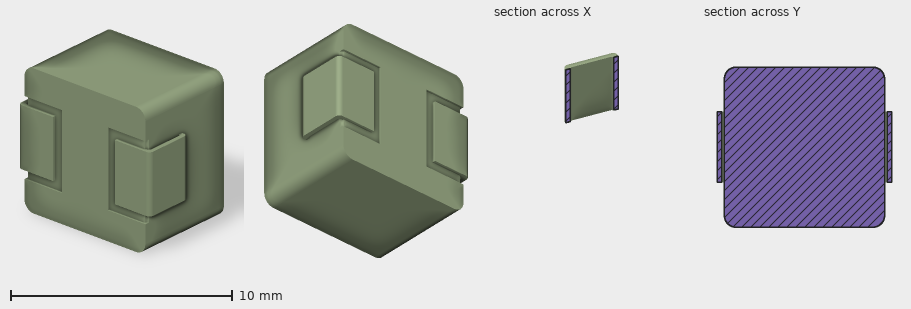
import cadquery as cq

body_size = 7.26
foot_projection = 0.06
body_depth = 5.45 - foot_projection
body_corner_radius = 0.555

terminal_span = 7.92
terminal_thickness = 0.23
terminal_width = 3.21
terminal_height = 2.58
foot_length = 2.11
bend_outer_radius = 0.23
bend_inner_radius = 0.12
anchor_depth = 0.32

pocket_depth = 0.11
pocket_length = 2.24
pocket_width = 4.15
pocket_edge_radius = 0.13

body_side = body_size / 2
terminal_side = terminal_span / 2


def make_body():
    return (
        cq.Workplane("XY")
        .box(body_size, body_depth, body_size, centered=(True, False, True))
        .edges("|Y")
        .fillet(body_corner_radius)
    )


def make_pocket():
    """Pocket cutter on the -X side, leaving a rounded edge between floor and body side."""
    return (
        cq.Workplane("XY")
        .workplane(offset=-pocket_width / 2)
        .moveTo(-body_side, 0)
        .lineTo(-body_side + pocket_length, 0)
        .lineTo(-body_side + pocket_length, pocket_depth)
        .lineTo(-body_side + pocket_edge_radius, pocket_depth)
        .radiusArc((-body_side, pocket_depth + pocket_edge_radius), -pocket_edge_radius)
        .close()
        .extrude(pocket_width)
    )


def make_terminal():
    """C-shaped strip on the -X side: long foot in front, upright, short arm into the body."""
    outer_x = -terminal_side
    inner_x = outer_x + terminal_thickness
    front_y = -foot_projection
    back_y = front_y + terminal_height
    foot_end_x = outer_x + foot_length
    arm_end_x = -body_side + anchor_depth
    strip = (
        cq.Workplane("XY")
        .workplane(offset=-terminal_width / 2)
        .moveTo(foot_end_x, front_y)
        .lineTo(outer_x, front_y)
        .lineTo(outer_x, back_y)
        .lineTo(arm_end_x, back_y)
        .lineTo(arm_end_x, back_y - terminal_thickness)
        .lineTo(inner_x, back_y - terminal_thickness)
        .lineTo(inner_x, front_y + terminal_thickness)
        .lineTo(foot_end_x, front_y + terminal_thickness)
        .close()
        .extrude(terminal_width)
    )
    strip = strip.edges("|Z and <X").fillet(bend_outer_radius)
    inner_corners = cq.selectors.BoxSelector(
        (inner_x - bend_inner_radius / 2, front_y, -terminal_width),
        (inner_x + bend_inner_radius / 2, back_y, terminal_width),
    )
    return strip.edges("|Z").edges(inner_corners).fillet(bend_inner_radius)


pocket = make_pocket()
terminal = make_terminal()
result = make_body().cut(pocket).cut(pocket.mirror("YZ"))
result = result.union(terminal).union(terminal.mirror("YZ"))